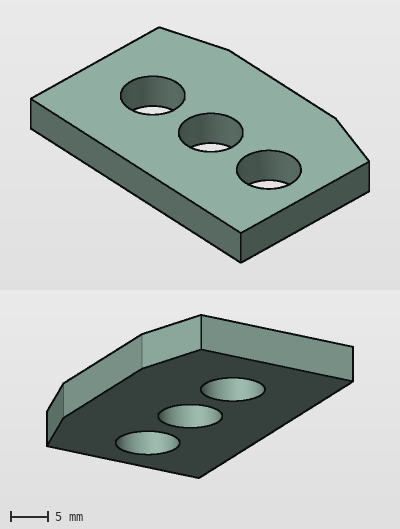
import cadquery as cq

length = 41.4
width = 26.92
thickness = 5.0

slope_length = 10.16
slope_depth = 3.3

hole_diameter = 8.64
hole_pitch = 11.43
hole_count = 3
row_center_x = 22.1
row_center_y = 12.5


def make_plate():
    """Flat plate, front left corner at the origin, both rear corners sloped."""
    side_height = width - slope_depth
    return (
        cq.Workplane("XY")
        .moveTo(0, 0)
        .lineTo(length, 0)
        .lineTo(length, side_height)
        .lineTo(length - slope_length, width)
        .lineTo(slope_length, width)
        .lineTo(0, side_height)
        .close()
        .extrude(thickness)
    )


def make_hole_row():
    """Cylinders for the evenly spaced holes along X."""
    return (
        cq.Workplane("XY")
        .center(row_center_x, row_center_y)
        .rarray(hole_pitch, 1, hole_count, 1)
        .circle(hole_diameter / 2)
        .extrude(thickness)
    )


result = make_plate().cut(make_hole_row())